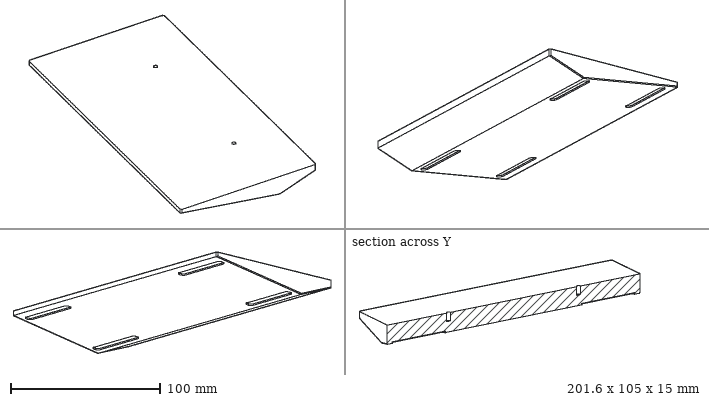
import cadquery as cq
import math

length = 201.6
width = 105.0
height = 15.0

front_thickness = 3.2
back_thickness = 5.0
ridge_from_back = 27.8

corner_chamfer = 1.0
end_edge_chamfer = 0.6

hole_diameter = 2.6
hole_depth = 6.0
hole_spacing = 103.6
hole_from_back = 35.0

slot_length = 42.3
slot_width = 5.2
slot_depth = 1.0
slot_spacing = 150.8
slot_from_front = 9.3
slot_from_ridge = 6.5

front_y = -width / 2
back_y = width / 2
ridge_y = back_y - ridge_from_back
slope_run = ridge_y - front_y
slope_drop = height - front_thickness
slope_length = math.hypot(slope_run, slope_drop)


def make_body():
    profile = [
        (front_y, 0),
        (back_y, 0),
        (back_y, -back_thickness),
        (ridge_y, -height),
        (front_y, -front_thickness),
    ]
    body = cq.Workplane("YZ").polyline(profile).close().extrude(length / 2, both=True)
    body = body.edges("|Z").chamfer(corner_chamfer)
    return body.faces("<X or >X").edges("not(|Z or |Y)").chamfer(end_edge_chamfer)


def make_holes():
    hole_y = back_y - hole_from_back
    positions = [(side * hole_spacing / 2, hole_y) for side in (-1, 1)]
    return (
        cq.Workplane("XY")
        .pushPoints(positions)
        .circle(hole_diameter / 2)
        .extrude(-hole_depth)
    )


def make_slots():
    slope = cq.Plane(
        origin=(0, ridge_y, -height),
        xDir=(-1, 0, 0),
        normal=(0, -slope_drop, -slope_run),
    )
    rows = (-slot_from_ridge, slot_from_front - slope_length)
    positions = [(side * slot_spacing / 2, row) for side in (-1, 1) for row in rows]
    return (
        cq.Workplane(slope)
        .pushPoints(positions)
        .slot2D(slot_length, slot_width)
        .extrude(-slot_depth)
    )


result = make_body().cut(make_holes()).cut(make_slots())